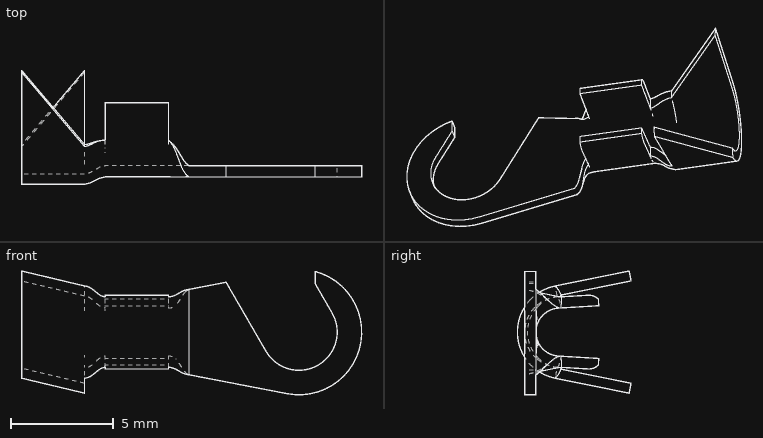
import cadquery as cq
import math


hook_outer_radius = 3.05
hook_inner_radius = 1.85
plate_thickness = 0.55
hook_tip_x = 0.78
throat_angle = 60.0
neck_half_width = 2.08

overall_length = 16.51
grip_length = 3.05
barrel_length = 3.08
transition_length = 1.0

grip_radius = 2.29
grip_wall = 0.5
grip_lean = 11.4
grip_wing_length = 3.67
grip_drop = 0.355

barrel_radius = 1.71
barrel_wall = plate_thickness
barrel_lean = 3.4
barrel_wing_length = 1.97
barrel_wing_flat = 1.48
barrel_tip_drop = 0.23

flare_overlap = 3.0
transition_steps = 4

grip_start = hook_outer_radius - overall_length
grip_end = grip_start + grip_length
barrel_start = grip_end + transition_length
barrel_end = barrel_start + barrel_length
plate_start = barrel_end + transition_length

grip_sweep = math.radians(90.0 - grip_lean)
barrel_sweep = math.radians(90.0 - barrel_lean)
flare_sweep = math.radians(90.0 + flare_overlap)


def blend(start, end, t):
    return start + (end - start) * t


def smooth_step(t):
    """Ease from 0 to 1 with level ends."""
    return t * t * (3.0 - 2.0 * t)


def trough_section(x, bottom_y, radius, wall, sweep):
    """Closed wire of a round trough wall in the plane at x."""
    center_y = bottom_y + radius
    inner = radius - wall

    def rim(r, angle):
        return (center_y - r * math.cos(angle), r * math.sin(angle))

    return (
        cq.Workplane("YZ", origin=(x, 0, 0))
        .moveTo(*rim(radius, -sweep))
        .threePointArc(rim(radius, 0), rim(radius, sweep))
        .lineTo(*rim(inner, sweep))
        .threePointArc(rim(inner, 0), rim(inner, -sweep))
        .close()
    )


def flat_section(x):
    """Closed wire of the flat plate in the plane at x, ordered like trough_section."""
    return (
        cq.Workplane("YZ", origin=(x, 0, 0))
        .moveTo(0, -neck_half_width)
        .lineTo(0, neck_half_width)
        .lineTo(plate_thickness, neck_half_width)
        .lineTo(plate_thickness, -neck_half_width)
        .close()
    )


def loft_sections(sections):
    return cq.Workplane(cq.Solid.makeLoft([section.val() for section in sections]))


def grip_wing(side, tip_x):
    """Triangular insulation wing on the +Z (side 1) or -Z (side -1) edge of the grip."""
    lean = math.radians(grip_lean)
    root_y = grip_radius - grip_drop - grip_radius * math.sin(lean)
    root_z = side * grip_radius * math.cos(lean)
    outward = (0, -math.sin(lean), side * math.cos(lean))
    outer_face = cq.Plane(origin=(0, root_y, root_z), xDir=(1, 0, 0), normal=outward)
    return (
        cq.Workplane(outer_face)
        .polyline([(grip_start, 0), (grip_end, 0), (tip_x, side * grip_wing_length)])
        .close()
        .extrude(-grip_wall)
    )


def insulation_grip():
    trough = trough_section(grip_start, -grip_drop, grip_radius, grip_wall, grip_sweep)
    grip = trough.extrude(grip_length)
    return grip.union(grip_wing(1, grip_start)).union(grip_wing(-1, grip_end))


def barrel_wing():
    """Wire wing on the +Z edge of the barrel, with a rounded outer tip."""
    lean = math.radians(barrel_lean)
    root_y = barrel_radius - barrel_radius * math.sin(lean)
    root_z = barrel_radius * math.cos(lean)
    profile_plane = cq.Plane(
        origin=(barrel_start, root_y, root_z),
        xDir=(0, math.cos(lean), math.sin(lean)),
        normal=(1, 0, 0),
    )
    return (
        cq.Workplane(profile_plane)
        .lineTo(barrel_wing_flat, 0)
        .tangentArcPoint((barrel_wing_length, -barrel_tip_drop), relative=False)
        .lineTo(barrel_wing_length, -barrel_wall)
        .lineTo(0, -barrel_wall)
        .close()
        .extrude(barrel_length)
    )


def wire_barrel():
    trough = trough_section(barrel_start, 0, barrel_radius, barrel_wall, barrel_sweep)
    barrel = trough.extrude(barrel_length)
    wing = barrel_wing()
    return barrel.union(wing).union(wing.mirror("XY"))


def grip_transition():
    """S-shaped neck from the insulation grip down to the wire barrel."""
    sections = []
    for step in range(transition_steps + 1):
        t = step / transition_steps
        s = smooth_step(t)
        sections.append(
            trough_section(
                blend(grip_end, barrel_start, t),
                blend(-grip_drop, 0, s),
                blend(grip_radius, barrel_radius, s),
                blend(grip_wall, barrel_wall, s),
                blend(grip_sweep, flare_sweep, s),
            ).wires()
        )
    return loft_sections(sections)


def plate_transition():
    """Trough of the wire barrel opening out into the flat plate."""
    sections = []
    for step in range(transition_steps):
        t = step / transition_steps
        s = smooth_step(t)
        sweep = flare_sweep * (1.0 - s)
        edge_z = blend(barrel_radius * math.sin(flare_sweep), neck_half_width, s)
        radius = edge_z / math.sin(sweep)
        x = blend(barrel_end, plate_start, t)
        sections.append(trough_section(x, 0, radius, plate_thickness, sweep).wires())
    sections.append(flat_section(plate_start).wires())
    return loft_sections(sections)


def hook_plate():
    """Flat plate tapering into the open hook."""
    throat = math.radians(throat_angle)
    inner_touch_x = hook_inner_radius * math.sin(throat)
    inner_touch_z = hook_inner_radius * math.cos(throat)

    neck_distance = math.hypot(plate_start, neck_half_width)
    edge_slope = math.asin(hook_outer_radius / neck_distance) - math.atan2(neck_half_width, -plate_start)
    outer_touch = (-hook_outer_radius * math.sin(edge_slope), -hook_outer_radius * math.cos(edge_slope))

    rise = math.tan(edge_slope)
    steep = math.tan(throat)
    edge_at_center = neck_half_width - rise * plate_start
    throat_at_center = -inner_touch_z - steep * inner_touch_x
    shoulder_x = (throat_at_center - edge_at_center) / (rise + steep)
    shoulder_z = edge_at_center + rise * shoulder_x

    tip_outer_z = math.sqrt(hook_outer_radius**2 - hook_tip_x**2)
    tip_inner_z = inner_touch_z + steep * (inner_touch_x - hook_tip_x)

    inner_mid = (hook_inner_radius * math.cos(throat), -hook_inner_radius * math.sin(throat))
    return (
        cq.Workplane("XZ")
        .moveTo(plate_start, -neck_half_width)
        .lineTo(*outer_touch)
        .threePointArc((hook_outer_radius, 0), (hook_tip_x, tip_outer_z))
        .lineTo(hook_tip_x, tip_inner_z)
        .lineTo(inner_touch_x, inner_touch_z)
        .threePointArc(inner_mid, (-inner_touch_x, -inner_touch_z))
        .lineTo(shoulder_x, shoulder_z)
        .lineTo(plate_start, neck_half_width)
        .close()
        .extrude(-plate_thickness)
    )


result = (
    insulation_grip()
    .union(grip_transition())
    .union(wire_barrel())
    .union(plate_transition())
    .union(hook_plate())
)